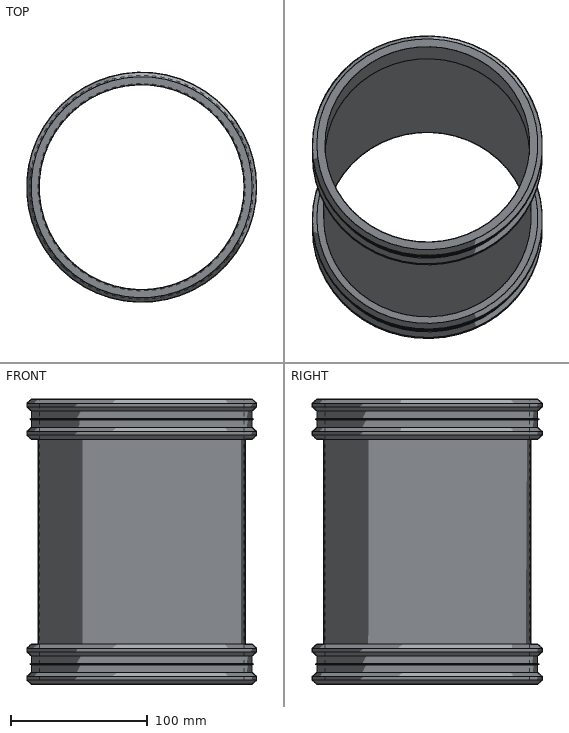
import cadquery as cq

total_length = 208.8
tube_outer_diameter = 151.8
bore_diameter = 150.0

collar_length = 29.5
rim_diameter = 168.5
neck_diameter = 161.8
rim_length = 8.8
rim_land_length = 2.5
bevel_length = (rim_length - rim_land_length) / 2

ridge_diameter = 164.0
ridge_width = 1.0

joint_height = total_length - collar_length


def collar(base_height):
    """Ring with a bevelled rim at each end and a fine V-shaped ridge between the rims."""
    bore_radius = bore_diameter / 2
    neck_radius = neck_diameter / 2
    rim_radius = rim_diameter / 2
    ridge_radius = ridge_diameter / 2
    ridge_start = (collar_length - ridge_width) / 2
    ridge_end = ridge_start + ridge_width
    upper_rim_start = collar_length - rim_length
    profile = [
        (bore_radius, 0),
        (neck_radius, 0),
        (rim_radius, bevel_length),
        (rim_radius, rim_length - bevel_length),
        (neck_radius, rim_length),
        (neck_radius, ridge_start),
        (ridge_radius, collar_length / 2),
        (neck_radius, ridge_end),
        (neck_radius, upper_rim_start),
        (rim_radius, upper_rim_start + bevel_length),
        (rim_radius, collar_length - bevel_length),
        (neck_radius, collar_length),
        (bore_radius, collar_length),
    ]
    ring = cq.Workplane("XZ").polyline(profile).close().revolve(360, (0, 0), (0, 1))
    return ring.translate((0, 0, base_height))


def tube_with_lower_collar():
    """Thin tube carrying its own collar at the lower end."""
    tube = (
        cq.Workplane("XY")
        .workplane(offset=collar_length)
        .circle(tube_outer_diameter / 2)
        .circle(bore_diameter / 2)
        .extrude(joint_height - collar_length)
    )
    return tube.union(collar(0))


tube_body = tube_with_lower_collar()
upper_collar = collar(joint_height)

result = cq.Compound.makeCompound([tube_body.val(), upper_collar.val()])